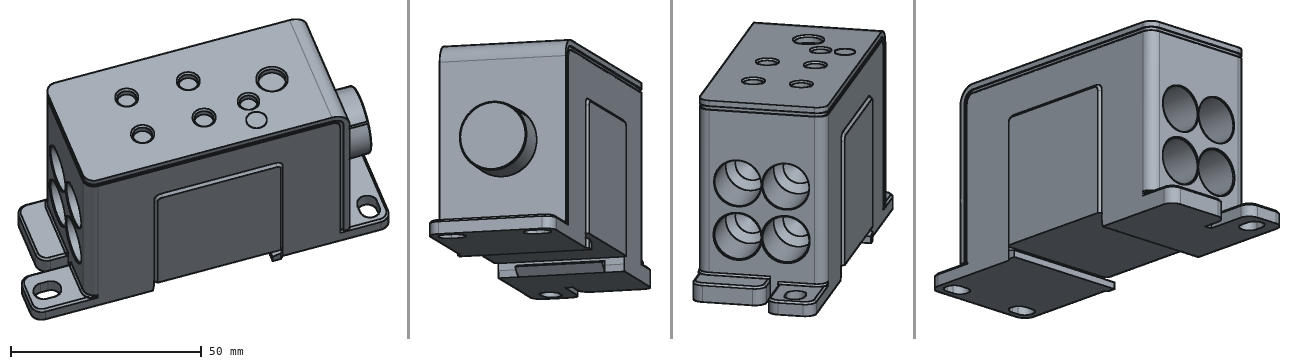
import cadquery as cq
import math


width = 34.5
length = 72.9
height = 53.0
corner_radius = 3.1
bend_radius = 4.95

cover_thickness = 1.6
groove_width = 1.0
groove_depth = 0.4
cover_overcut = 1.0

ear_height = 3.9
rear_ear_length = 11.7
front_ear_length = 14.5
front_ear_inner_x = 4.5
foot_height = 5.1
foot_length = 8.0
foot_inner_x = 2.4
edge_chamfer = 0.6
bevel_land = 0.05
slot_length = 7.4
slot_width = 5.3
rear_slot_x = 11.7
rear_slot_edge_distance = 4.6
front_slot_x = 11.0
front_slot_edge_distance = 5.7

panel_thickness = 0.8
panel_front_y = 18.7
panel_back_y = 54.4
panel_top_z = 40.1
panel_radius = 2.0
channel_height = ear_height
channel_relief_height = 2.0
channel_relief_depth = 0.3
panel_chamfer = 0.78

back_hook_reach = 3.1
back_hook_root_z = 2.7
back_hook_tip_z = 1.9
front_hook_width = 23.8
front_hook_reach = 2.5
front_hook_root_z = 3.1
front_hook_tip_z = 2.3

inlet_pitch_x = 12.9
inlet_low_z = 16.1
inlet_pitch_z = 14.6
low_inlet_mouth_diameter = 13.1
high_inlet_mouth_diameter = 12.8
inlet_diameter = 12.5
inlet_lead_in = 0.3
inlet_depth = 13.9
inlet_taper_length = 3.0
inlet_bottom_diameter = 8.6
drill_point_angle = 118

recess_depth = 2.0
recess_chamfer = 0.5
screw_recess_diameter = 5.1
screw_pitch_x = 12.9
screw_rows_y = (19.2, 36.2)
large_recess_diameter = 7.3
large_recess_y = 57.2
label_recess_diameter = 4.8
label_x = 5.0
label_y = 49.0
spot_x = 11.6
spot_diameter = 5.4
spot_depth = 0.1

spigot_z = 25.9
spigot_length = 8.9
spigot_root_diameter = 18.7
spigot_tip_diameter = 18.3
spigot_chamfer = 0.3
spigot_groove_width = 0.6
spigot_groove_depth = 0.3


def block(x_range, y_range, z_range):
    """Axis-aligned box spanning the given ranges."""
    spans = (x_range, y_range, z_range)
    sizes = [high - low for low, high in spans]
    corner = [low for low, high in spans]
    return cq.Workplane("XY").box(*sizes, centered=False).translate(tuple(corner))


def side_extrusion(points, total_width):
    """Closed outline of (y, z) points, extruded evenly about x = 0."""
    return cq.Workplane("YZ").polyline(points).close().extrude(total_width / 2, both=True)


def housing_layer(offset, inset):
    """Housing set back by offset at the top and back, and by inset at the front and sides."""
    layer = block(
        (inset - width / 2, width / 2 - inset),
        (inset, length - offset),
        (0, height - offset),
    )
    layer = layer.edges("|X and >Y and >Z").fillet(bend_radius - offset)
    return layer.edges("|Z and <Y").fillet(corner_radius - inset)


def housing():
    """Body, recessed neck and the cover over the top and back."""
    body = housing_layer(cover_thickness + groove_width, 0)
    neck = housing_layer(cover_thickness, groove_depth)
    cover = housing_layer(0, 0).cut(housing_layer(cover_thickness, -cover_overcut))
    below_cover = block((-width, width), (length / 2, 2 * length), (0, ear_height))
    return body.union(neck).union(cover).cut(below_cover.cut(body))


def tab(x_range, y_range, top_z, rounded_edges, bevelled_edges):
    """Flat tab with rounded corners and a bevelled top rim."""
    plate = block(x_range, y_range, (0, top_z))
    plate = plate.edges(rounded_edges).fillet(corner_radius)
    return plate.faces(">Z").edges(bevelled_edges).chamfer(edge_chamfer)


def slot(x, y, angle):
    """Cutter for an obround mounting hole."""
    cutter = cq.Workplane("XY").center(x, y).slot2D(slot_length, slot_width, angle)
    return cutter.extrude(ear_height)


def wall_bevel(x_range, base_z):
    """Sloped strip where a front tab meets the front wall and its rounded corner."""
    skirt = block(
        (-width / 2 - edge_chamfer, width / 2 + edge_chamfer),
        (-edge_chamfer, length),
        (base_z, base_z + edge_chamfer),
    )
    skirt = skirt.edges("|Z and <Y").fillet(corner_radius + edge_chamfer)
    skirt = skirt.faces(">Z").edges("not >Y").chamfer(edge_chamfer - bevel_land)
    tab_space = block(x_range, (-corner_radius, corner_radius), (base_z, height))
    return skirt.intersect(tab_space)


def mounting_tabs():
    """Rear ear, front ear and front foot with their slots and bevels."""
    half = width / 2
    body_back = length - cover_thickness - groove_width
    ear_back = length + rear_ear_length
    rear = tab((-half, half), (body_back, ear_back), ear_height, "|Z and >Y", "not <Y")
    for x in (-rear_slot_x, rear_slot_x):
        rear = rear.cut(slot(x, ear_back - rear_slot_edge_distance, 0))

    ear_span = (front_ear_inner_x, half)
    ear = tab(ear_span, (-front_ear_length, corner_radius), ear_height, "|Z and <Y", "not >Y")
    ear = ear.cut(slot(front_slot_x, front_slot_edge_distance - front_ear_length, 90))
    ear = ear.union(wall_bevel(ear_span, ear_height))

    foot_span = (-half, foot_inner_x)
    foot = tab(foot_span, (-foot_length, corner_radius), foot_height, "|Z and <Y", "not >Y")
    foot = foot.union(wall_bevel(foot_span, foot_height))
    return rear.union(ear).union(foot)


def side_panels():
    """Raised panel on both side walls, with bevelled front, top and back edges."""
    full = width / 2 + panel_thickness
    panel = block((-full, full), (panel_front_y, panel_back_y), (channel_height, panel_top_z))
    panel = panel.edges("|X and >Z").fillet(panel_radius)
    return panel.faces("<X or >X").edges("not <Z").chamfer(panel_chamfer)


def rail_channel():
    """Cutter for the open channel across the underside, relieved at its front lower edge."""
    return side_extrusion(
        [
            (panel_front_y - channel_relief_depth, 0),
            (panel_front_y, channel_relief_height),
            (panel_front_y, channel_height),
            (panel_back_y, channel_height),
            (panel_back_y, 0),
        ],
        2 * width,
    )


def rail_hooks():
    """Wide back hook and pointed front hook that grip the rail."""
    back_tip_y = panel_back_y - back_hook_reach
    back = side_extrusion(
        [
            (panel_back_y, 0),
            (back_tip_y, 0),
            (back_tip_y, back_hook_tip_z),
            (panel_back_y, back_hook_root_z),
        ],
        width + 2 * panel_thickness,
    )
    back = back.edges("|Z and >Y").chamfer(panel_chamfer)
    front = side_extrusion(
        [
            (panel_front_y - channel_relief_depth, 0),
            (panel_front_y + front_hook_reach, front_hook_tip_z),
            (panel_front_y, front_hook_root_z),
            (panel_front_y, channel_relief_height),
        ],
        front_hook_width,
    )
    return back.union(front)


def cable_inlet(x, z, mouth_diameter):
    """Cutter for a round inlet that narrows to a drilled point."""
    mouth = mouth_diameter / 2
    bore = inlet_diameter / 2
    bottom = inlet_bottom_diameter / 2
    taper_end = inlet_depth + inlet_taper_length
    point = taper_end + bottom / math.tan(math.radians(drill_point_angle / 2))
    outline = [
        (0, 0),
        (mouth, 0),
        (bore, inlet_lead_in),
        (bore, inlet_depth),
        (bottom, taper_end),
        (0, point),
    ]
    cutter = cq.Workplane("XY").polyline(outline).close().revolve(360, (0, 0), (0, 1))
    return cutter.translate((x, 0, z))


def top_recess(x, y, diameter):
    """Cutter for a flat-bottomed recess with a chamfered rim."""
    cutter = cq.Workplane("XY", origin=(x, y, height - recess_depth)).circle(diameter / 2)
    cutter = cutter.extrude(recess_depth)
    rim = cq.Workplane("XY", origin=(x, y, height)).circle(diameter / 2 + recess_chamfer)
    rim = rim.extrude(-recess_chamfer, taper=45)
    return cutter.union(rim)


def spigot():
    """Tapered round spigot with two shallow lengthwise grooves on its upper half."""
    root = spigot_root_diameter / 2
    tip = spigot_tip_diameter / 2
    outline = [
        (0, -cover_thickness),
        (root, -cover_thickness),
        (root, 0),
        (tip, spigot_length - spigot_chamfer),
        (tip - spigot_chamfer, spigot_length),
        (0, spigot_length),
    ]
    body = cq.Workplane("XY").polyline(outline).close().revolve(360, (0, 0), (0, 1))
    half_groove = spigot_groove_width / 2
    groove = block(
        (-half_groove, half_groove), (0, spigot_length), (tip - spigot_groove_depth, spigot_root_diameter)
    )
    for angle in (-45, 45):
        body = body.cut(groove.rotate((0, 0, 0), (0, 1, 0), angle))
    return body.translate((0, length, spigot_z))


result = housing().union(mounting_tabs()).cut(rail_channel())
result = result.union(side_panels()).union(rail_hooks()).union(spigot())

for side in (-1, 1):
    inlet_x = side * inlet_pitch_x / 2
    result = result.cut(cable_inlet(inlet_x, inlet_low_z, low_inlet_mouth_diameter))
    result = result.cut(cable_inlet(inlet_x, inlet_low_z + inlet_pitch_z, high_inlet_mouth_diameter))
    for row_y in screw_rows_y:
        result = result.cut(top_recess(side * screw_pitch_x / 2, row_y, screw_recess_diameter))

result = result.cut(top_recess(0, large_recess_y, large_recess_diameter))
result = result.cut(top_recess(label_x, label_y, label_recess_diameter))

spot = cq.Workplane("XY", origin=(spot_x, label_y, height)).circle(spot_diameter / 2)
result = result.cut(spot.extrude(-spot_depth))